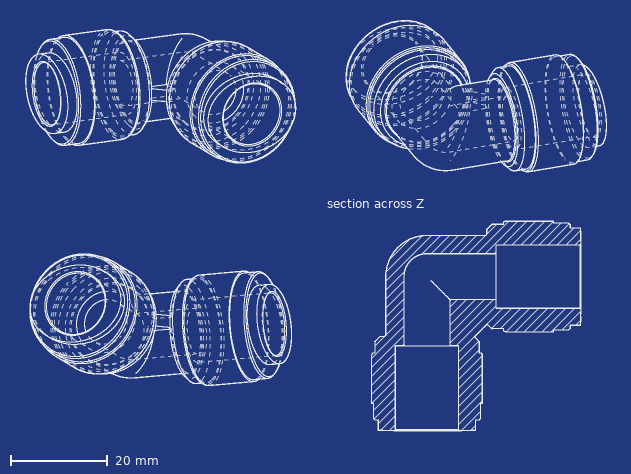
import cadquery as cq

body_radius = 8.55
bore_radius = 4.75

root_chamfer = 0.2
shoulder_start = 12.35
shoulder_radius = 10.85
shoulder_chamfer = 1.1
grip_start = 15.8
grip_end = 26.2
grip_radius = 11.5
grip_chamfer_length = 0.45
grip_chamfer_height = 0.2
cap_radius = 11.1
cap_end = 29.7
cap_chamfer = 0.35

arm_length = 43.4 - grip_radius
collet_half_width = 10.05
collet_half_height = 8.15
seat_radius = 6.5
seat_start = 14.32
mouth_chamfer = 0.25
face_drop = 0.1

web_thickness = 2.5
web_reach = 22.3


def turn_to_minus_y(arm):
    """Swing an X arm to -Y; every arm is symmetric about the XY and XZ planes."""
    return arm.rotate((0, 0, 0), (0, 0, 1), -90)


def make_arm():
    """Round body and stepped socket turned about X, with an oval, slightly conical-faced collet."""
    turned = (
        cq.Workplane("XY")
        .moveTo(0, 0)
        .lineTo(0, body_radius)
        .lineTo(shoulder_start - root_chamfer, body_radius)
        .lineTo(shoulder_start, body_radius + root_chamfer)
        .lineTo(shoulder_start, shoulder_radius - shoulder_chamfer)
        .lineTo(shoulder_start + shoulder_chamfer, shoulder_radius)
        .lineTo(grip_start, shoulder_radius)
        .lineTo(grip_start, grip_radius - grip_chamfer_height)
        .lineTo(grip_start + grip_chamfer_length, grip_radius)
        .lineTo(grip_end, grip_radius)
        .lineTo(grip_end, cap_radius)
        .lineTo(cap_end - cap_chamfer, cap_radius)
        .lineTo(cap_end, cap_radius - cap_chamfer)
        .lineTo(cap_end, 0)
        .close()
        .revolve(360, (0, 0), (1, 0))
    )
    collet = (
        cq.Workplane("YZ", origin=(grip_end, 0, 0))
        .ellipse(collet_half_width, collet_half_height)
        .extrude(arm_length - grip_end)
    )
    face_envelope = (
        cq.Workplane("XY")
        .moveTo(0, 0)
        .lineTo(0, collet_half_width)
        .lineTo(arm_length - face_drop, collet_half_width)
        .lineTo(arm_length, seat_radius + mouth_chamfer)
        .lineTo(arm_length, 0)
        .close()
        .revolve(360, (0, 0), (1, 0))
    )
    return turned.union(collet.intersect(face_envelope))


def make_arm_bore():
    """Flow bore widening to the tube seat, with a chamfered mouth."""
    return (
        cq.Workplane("XY")
        .moveTo(0, 0)
        .lineTo(0, bore_radius)
        .lineTo(seat_start, bore_radius)
        .lineTo(seat_start, seat_radius)
        .lineTo(arm_length - mouth_chamfer, seat_radius)
        .lineTo(arm_length, seat_radius + mouth_chamfer)
        .lineTo(arm_length, 0)
        .close()
        .revolve(360, (0, 0), (1, 0))
    )


def make_web():
    """Flat triangular web between the arms."""
    return (
        cq.Workplane("XY")
        .polyline([(0, 0), (web_reach, 0), (0, -web_reach)])
        .close()
        .extrude(web_thickness / 2, both=True)
    )


arm = make_arm()
elbow = cq.Workplane("XY").sphere(body_radius)
elbow = elbow.union(arm).union(turn_to_minus_y(arm)).union(make_web())

bore = make_arm_bore()
passage = cq.Workplane("XY").sphere(bore_radius)
passage = passage.union(bore).union(turn_to_minus_y(bore))

result = elbow.cut(passage)